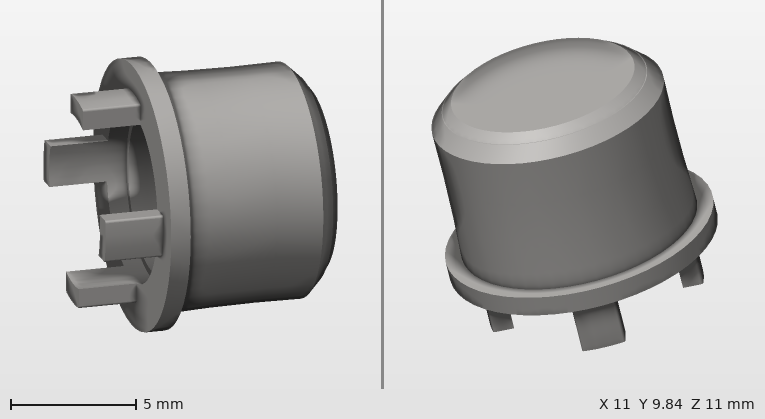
import cadquery as cq
import math

leg_length = 2.4
flange_thickness = 0.81
body_length = 5.74
shoulder_length = 0.57
cap_thickness = 0.32

flange_radius = 5.5
body_base_radius = 4.84
body_waist_radius = 4.74
body_end_radius = 4.76
shoulder_end_radius = 8.43 / 2
cap_base_radius = 8.35 / 2
cap_end_radius = 3.76

mouth_radius = 7.16 / 2
mouth_depth = 0.81
chamber_mouth_radius = 3.29
chamber_end_radius = 3.26
chamber_depth = 3.01
throat_radius = 2.75

leg_count = 4
leg_outer_radius = 4.39
leg_near_side = 0.59
leg_far_side = 1.18
leg_edge_radius = 0.1
leg_root_height = 3.08

overall_length = leg_length + flange_thickness + body_length + shoulder_length + cap_thickness
leg_tip_y = -overall_length / 2
flange_face_y = leg_tip_y + leg_length
body_base_y = flange_face_y + flange_thickness
body_waist_y = body_base_y + 0.6 * body_length
body_end_y = body_base_y + body_length
cap_base_y = body_end_y + shoulder_length
cap_end_y = cap_base_y + cap_thickness
mouth_end_y = flange_face_y + mouth_depth
chamber_end_y = flange_face_y + chamber_depth


def make_shell():
    """Solid flanged body with a slightly waisted side, revolved about Y."""
    profile = (
        cq.Workplane("XY")
        .moveTo(0, flange_face_y)
        .lineTo(flange_radius, flange_face_y)
        .lineTo(flange_radius, body_base_y)
        .lineTo(body_base_radius, body_base_y)
        .threePointArc((body_waist_radius, body_waist_y), (body_end_radius, body_end_y))
        .lineTo(shoulder_end_radius, cap_base_y)
        .lineTo(cap_base_radius, cap_base_y)
        .lineTo(cap_end_radius, cap_end_y)
        .lineTo(0, cap_end_y)
        .close()
    )
    return profile.revolve(360, (0, 0, 0), (0, 1, 0))


def make_bore():
    """Stepped blind bore with a slightly tapered chamber, starting at the leg tips."""
    profile = (
        cq.Workplane("XY")
        .moveTo(0, leg_tip_y)
        .lineTo(mouth_radius, leg_tip_y)
        .lineTo(mouth_radius, mouth_end_y)
        .lineTo(chamber_mouth_radius, mouth_end_y)
        .lineTo(chamber_end_radius, chamber_end_y)
        .lineTo(throat_radius, chamber_end_y)
        .lineTo(throat_radius, cap_base_y)
        .lineTo(0, cap_base_y)
        .close()
    )
    return profile.revolve(360, (0, 0, 0), (0, 1, 0))


def outer_height(side_offset):
    """Height of the leg's rounded outer face at a distance from its centre line."""
    return math.sqrt(leg_outer_radius**2 - side_offset**2)


def make_leg():
    """Leg on the +Z side, offset toward +X, with rounded outer edges."""
    outer_edge_zone = (
        (-leg_outer_radius, leg_tip_y, mouth_radius),
        (leg_outer_radius, flange_face_y, leg_outer_radius),
    )
    return (
        cq.Workplane("XZ", origin=(0, flange_face_y, 0))
        .moveTo(-leg_near_side, leg_root_height)
        .lineTo(leg_far_side, leg_root_height)
        .lineTo(leg_far_side, outer_height(leg_far_side))
        .threePointArc((0, leg_outer_radius), (-leg_near_side, outer_height(leg_near_side)))
        .close()
        .extrude(leg_length)
        .edges("|Y")
        .edges(cq.selectors.BoxSelector(*outer_edge_zone))
        .fillet(leg_edge_radius)
    )


result = make_shell()
leg = make_leg()
for index in range(leg_count):
    angle = index * 360 / leg_count
    result = result.union(leg.rotate((0, 0, 0), (0, 1, 0), angle))
result = result.cut(make_bore())